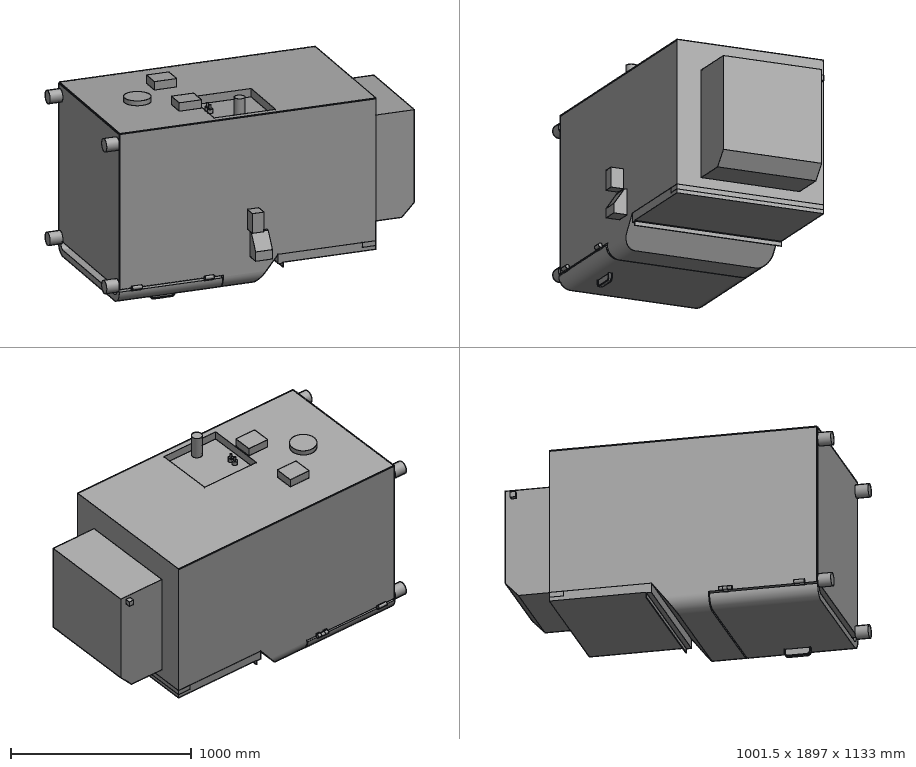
import cadquery as cq


WIDTH = 895.0
HEIGHT = 1532.0
UPPER_DEPTH = 840.0
LOWER_DEPTH = 920.0
SILL_DEPTH = 1010.0
SILL_TOP = 949.0
SILL_NOSE = 815.0
SILL_BOTTOM = 623.0
SILL_RADIUS = 80.0
SHEET = 5.0
REAR_INSET = 1.0
BASE_INSET = 2.0

FOOT_RADIUS = 38.0
FOOT_LENGTH = 75.0
FOOT_SPACING = 835.0
FOOT_REAR_Z = -68.0

BOX_WIDTH = 600.0
BOX_HEIGHT = 290.0
BOX_REAR_Z = -160.0
BOX_FRONT_Z = -784.0
BOX_CHAMFER_Y = 75.0
BOX_CHAMFER_Z = 80.0
KNOB_SIZE = 30.0
KNOB_TOP_GAP = 36.0
KNOB_REAR_GAP = 19.0

RECESS_LEFT, RECESS_RIGHT = 50.0, 410.0
RECESS_BOTTOM, RECESS_TOP = 583.0, 949.0
RECESS_DEPTH = 50.0
PIPE_X, PIPE_Y = 363.0, 753.0
PIPE_RADIUS = 30.0
PIPE_REACH = 84.0
GLAND_X, GLAND_Y = 182.0, 643.0
GLAND_PITCH = 35.0
GLAND_RADIUS = 15.0
GLAND_HEIGHT = 23.0
GLAND_PIN_RADIUS = 5.0
GLAND_PIN_HEIGHT = 47.0

SOCKET_WIDTH, SOCKET_HEIGHT, SOCKET_REACH = 115.0, 133.0, 50.0
SOCKET_Y = 510.0
SOCKET_XS = (-186.0, 180.0)
PORT_Y = 290.0
PORT_RADIUS = 75.0
PORT_REACH = 28.0

SIDE_BOX_REACH = 75.0
SIDE_BOX_Y = (765.0, 833.0)
SIDE_BOX_Z = (-666.0, -550.0)
WEDGE_REACH = 82.0
WEDGE_TOP_REACH = 17.0
WEDGE_Y = (782.0, 883.0)
WEDGE_REAR_Z = -683.0
WEDGE_SLOPE_Z = -776.0
WEDGE_FRONT_Z = -831.0

UPPER_DOOR_THICKNESS = 51.0
BAR_HEIGHT = 80.0
BAR_DEPTH = 28.0
RAIL_HEIGHT = 32.0
RAIL_STEP = 4.0
LIP_THICKNESS = 4.0
LIP_DEPTH = 28.0

DOOR_WIDTH = 902.0
DOOR_SHIFT = 2.0
DOOR_TOP = 617.0
DOOR_REAR_Z = -932.0
DOOR_FRONT_Z = -1005.0
DOOR_THICKNESS = 38.0
DOOR_RADIUS = 72.0

HANDLE_X, HANDLE_Y = 317.0, 310.0
HANDLE_WIDTH, HANDLE_HEIGHT = 23.0, 150.0
HANDLE_REACH = 44.0
HANDLE_RADIUS = 23.0
HANDLE_RIM = 5.0

HINGE_RADIUS = 11.0
HINGE_X = 461.0
HINGE_Z = -915.0
LEAF_THICKNESS = 8.0
DOOR_LEAF = 19.0
FRAME_LEAF = 11.0
LEFT_DOOR_KNUCKLES = ((510.0, 537.0), (72.0, 131.0))
LEFT_FRAME_KNUCKLES = ((485.0, 510.0), (537.0, 560.0))
RIGHT_DOOR_KNUCKLES = ((507.0, 560.0), (72.0, 131.0))


def block(x_range, y_range, z_range):
    """Box between the given pairs of limits."""
    (x0, x1), (y0, y1), (z0, z1) = x_range, y_range, z_range
    return cq.Workplane("XY").box(x1 - x0, y1 - y0, z1 - z0, centered=False).translate((x0, y0, z0))


def across(width, points):
    """Y-Z outline extruded along X, centred on X = 0."""
    return cq.Workplane("YZ").polyline(points).close().extrude(width / 2, both=True)


def rod(x, y, z_start, z_end, radius):
    """Round rod along Z."""
    return cq.Workplane("XY", origin=(x, y, z_start)).circle(radius).extrude(z_end - z_start)


def knuckle(side, y_range, leaf_reach):
    """Hinge knuckle with a leaf; side is -1 or 1, a negative leaf reach points to -Z."""
    y0, y1 = y_range
    barrel = cq.Workplane("XZ", origin=(side * HINGE_X, y0, HINGE_Z)).circle(HINGE_RADIUS).extrude(y0 - y1)
    wall = side * WIDTH / 2
    x_limits = sorted((wall, wall + side * LEAF_THICKNESS))
    z_limits = sorted((HINGE_Z, HINGE_Z + leaf_reach))
    return barrel.union(block(x_limits, y_range, z_limits))


def cabinet_shell():
    side_outline = [
        (SHEET, -SHEET),
        (HEIGHT, -SHEET),
        (HEIGHT, -UPPER_DEPTH),
        (SILL_TOP, -UPPER_DEPTH),
        (SILL_NOSE, -SILL_DEPTH),
        (SILL_BOTTOM, -SILL_DEPTH),
        (SILL_BOTTOM, -LOWER_DEPTH),
        (SHEET, -LOWER_DEPTH),
    ]
    shell = across(WIDTH, side_outline)
    rounded_envelope = block((-WIDTH / 2, WIDTH / 2), (0, HEIGHT), (-SILL_DEPTH, 0))
    rounded_envelope = rounded_envelope.edges("|Y and <Z").fillet(SILL_RADIUS)
    shell = shell.intersect(rounded_envelope)
    rear_half = WIDTH / 2 - REAR_INSET
    base_half = WIDTH / 2 - BASE_INSET
    rear_sheet = block((-rear_half, rear_half), (SHEET, HEIGHT), (-SHEET, 0))
    base_sheet = block((-base_half, base_half), (0, SHEET), (-LOWER_DEPTH, -SHEET))
    return shell.union(rear_sheet).union(base_sheet)


def feet():
    centres = [
        (side * FOOT_SPACING / 2, z)
        for side in (-1, 1)
        for z in (FOOT_REAR_Z, FOOT_REAR_Z - FOOT_SPACING)
    ]
    return cq.Workplane("XZ").pushPoints(centres).circle(FOOT_RADIUS).extrude(FOOT_LENGTH)


def top_box():
    top = HEIGHT + BOX_HEIGHT
    outline = [
        (HEIGHT, BOX_REAR_Z),
        (top, BOX_REAR_Z),
        (top, BOX_FRONT_Z + BOX_CHAMFER_Z),
        (top - BOX_CHAMFER_Y, BOX_FRONT_Z),
        (HEIGHT, BOX_FRONT_Z),
    ]
    knob_top = top - KNOB_TOP_GAP
    knob_rear = BOX_REAR_Z - KNOB_REAR_GAP
    knob = block(
        (-BOX_WIDTH / 2 - KNOB_SIZE, -BOX_WIDTH / 2),
        (knob_top - KNOB_SIZE, knob_top),
        (knob_rear - KNOB_SIZE, knob_rear),
    )
    return across(BOX_WIDTH, outline).union(knob)


def service_recess():
    return block((RECESS_LEFT, RECESS_RIGHT), (RECESS_BOTTOM, RECESS_TOP), (-RECESS_DEPTH, 0))


def recess_fittings():
    floor = -RECESS_DEPTH
    fittings = rod(PIPE_X, PIPE_Y, floor, PIPE_REACH, PIPE_RADIUS)
    for side in (-1, 1):
        x = GLAND_X + side * GLAND_PITCH / 2
        fittings = fittings.union(rod(x, GLAND_Y, floor, floor + GLAND_HEIGHT, GLAND_RADIUS))
        fittings = fittings.union(rod(x, GLAND_Y, floor, floor + GLAND_PIN_HEIGHT, GLAND_PIN_RADIUS))
    return fittings


def rear_fittings():
    fittings = rod(0, PORT_Y, 0, PORT_REACH, PORT_RADIUS)
    for x in SOCKET_XS:
        fittings = fittings.union(
            block(
                (x - SOCKET_WIDTH / 2, x + SOCKET_WIDTH / 2),
                (SOCKET_Y - SOCKET_HEIGHT / 2, SOCKET_Y + SOCKET_HEIGHT / 2),
                (0, SOCKET_REACH),
            )
        )
    return fittings


def side_fittings():
    wall = WIDTH / 2
    side_box = block((wall, wall + SIDE_BOX_REACH), SIDE_BOX_Y, SIDE_BOX_Z)
    wedge_outline = [
        (wall, WEDGE_REAR_Z),
        (wall + WEDGE_TOP_REACH, WEDGE_REAR_Z),
        (wall + WEDGE_REACH, WEDGE_SLOPE_Z),
        (wall + WEDGE_REACH, WEDGE_FRONT_Z),
        (wall, WEDGE_FRONT_Z),
    ]
    low, high = WEDGE_Y
    wedge = cq.Workplane("XZ", origin=(0, low, 0)).polyline(wedge_outline).close().extrude(low - high)
    return side_box.union(wedge)


def make_housing():
    body = cabinet_shell().union(feet()).union(top_box()).cut(service_recess())
    body = body.union(recess_fittings()).union(rear_fittings()).union(side_fittings())
    for y_range in LEFT_FRAME_KNUCKLES:
        body = body.union(knuckle(-1, y_range, FRAME_LEAF))
    return body


def make_hinge_bar():
    """Bar along the top edge of the upper door, between the door and the cabinet."""
    return block(
        (-WIDTH / 2, WIDTH / 2),
        (HEIGHT - BAR_HEIGHT, HEIGHT),
        (-UPPER_DEPTH - BAR_DEPTH, -UPPER_DEPTH),
    )


def make_upper_door():
    rear = -UPPER_DEPTH
    face = rear - UPPER_DOOR_THICKNESS
    rail_top = SILL_TOP + RAIL_HEIGHT
    outline = [
        (SILL_TOP, rear),
        (HEIGHT - BAR_HEIGHT, rear),
        (HEIGHT - BAR_HEIGHT, rear - BAR_DEPTH),
        (HEIGHT, rear - BAR_DEPTH),
        (HEIGHT, face),
        (rail_top, face),
        (rail_top, face - LIP_DEPTH),
        (rail_top - LIP_THICKNESS, face - LIP_DEPTH),
        (rail_top - LIP_THICKNESS, face - RAIL_STEP),
        (SILL_TOP, face - RAIL_STEP),
    ]
    return across(WIDTH, outline)


def door_channel():
    """Sheet bent into a U, open at its top and bottom ends."""
    def rounded(half_width, front, radius):
        solid = block((-half_width, half_width), (0, DOOR_TOP), (front, DOOR_REAR_Z))
        return solid.edges("|Y and <Z").fillet(radius)

    outer = rounded(DOOR_WIDTH / 2, DOOR_FRONT_Z, DOOR_RADIUS)
    inner = rounded(
        DOOR_WIDTH / 2 - DOOR_THICKNESS,
        DOOR_FRONT_Z + DOOR_THICKNESS,
        DOOR_RADIUS - DOOR_THICKNESS,
    )
    return outer.cut(inner).translate((DOOR_SHIFT, 0, 0))


def door_handle():
    """Grip plate with rounded front corners and a raised rim on both sides."""
    y_limits = (HANDLE_Y - HANDLE_HEIGHT / 2, HANDLE_Y + HANDLE_HEIGHT / 2)
    end_z = DOOR_FRONT_Z - HANDLE_REACH
    plate = block(
        (HANDLE_X - HANDLE_WIDTH / 2, HANDLE_X + HANDLE_WIDTH / 2), y_limits, (end_z, DOOR_FRONT_Z)
    )
    plate = plate.edges("|X and <Z").fillet(HANDLE_RADIUS)
    pocket = block(
        (0, HANDLE_RIM),
        (y_limits[0] + HANDLE_RIM, y_limits[1] - HANDLE_RIM),
        (end_z + HANDLE_RIM, DOOR_FRONT_Z),
    )
    pocket = pocket.edges("|X and <Z").fillet(HANDLE_RADIUS - HANDLE_RIM)
    for x in (HANDLE_X - HANDLE_WIDTH / 2, HANDLE_X + HANDLE_WIDTH / 2 - HANDLE_RIM):
        plate = plate.cut(pocket.translate((x, 0, 0)))
    return plate


def make_lower_door():
    door = door_channel().union(door_handle())
    for y_range in LEFT_DOOR_KNUCKLES:
        door = door.union(knuckle(-1, y_range, -DOOR_LEAF))
    for y_range in RIGHT_DOOR_KNUCKLES:
        door = door.union(knuckle(1, y_range, -DOOR_LEAF))
    return door


housing = make_housing()
hinge_bar = make_hinge_bar()
upper_door = make_upper_door()
lower_door = make_lower_door()

bodies = [housing, hinge_bar, upper_door, lower_door]
result = cq.Compound.makeCompound([body.solids().val() for body in bodies])